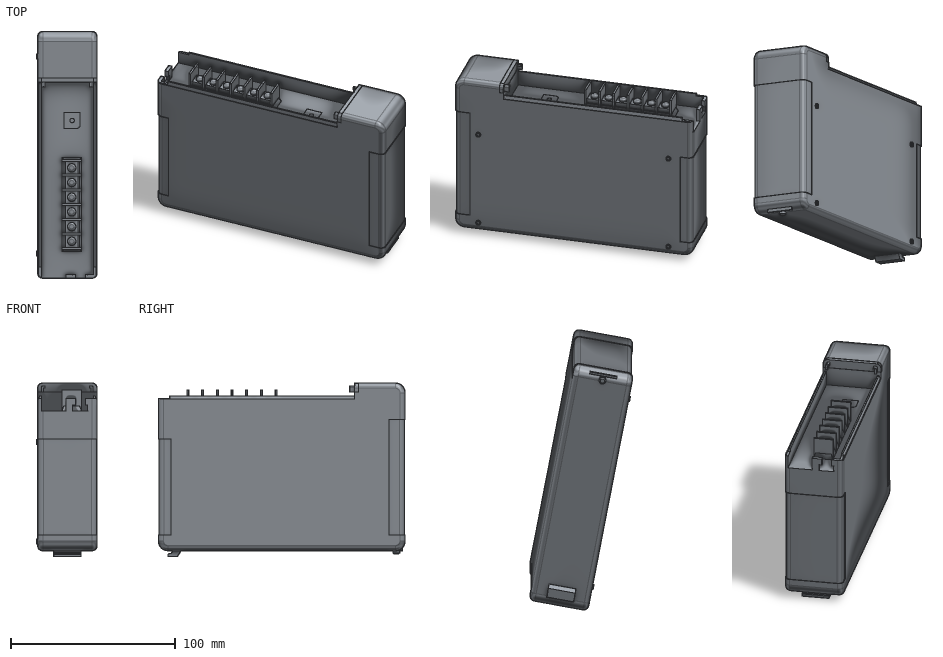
import cadquery as cq

WIDTH = 36.1
LENGTH = 150.0
CASE_TOP = 102.0
EDGE_ROUND = 3.1
PROFILE_CORNER = 6.0
CENTER_X = WIDTH / 2
MARGIN = 1.5

TRAY_LENGTH = 119.1
FLOOR_Z = 84.9
WALL = 2.2
WALL_FOOT_Z = 92.2
WALL_FOOT_LEDGE = 0.5
WALL_SLOPE_X = 1.3
WALL_TOP_Z = 94.2
POST_TOP_Z = 92.7
POST_LENGTH = 6.9

TAB_LEFT = 17.1
TAB_STEM_RIGHT = 21.3
TAB_RIGHT = 23.1
SLOT_RIGHT = 29.1
SLOT_FOOT_RIGHT = 30.5
OVERHANG_Z = 88.6

BAND_DEPTH = 0.37
BAND_BOTTOM_Z = 9.7
FRONT_BAND_TOP_Z = 67.8
FRONT_BAND_LENGTH = 7.8
REAR_BAND_TOP_Z = 79.8
REAR_BAND_LENGTH = 9.7

STRIP_BOTTOM_Z = 96.5
STRIP_LENGTH = 2.5
STRIP_DEPTH = 0.1
STRIP_FACE = TRAY_LENGTH + STRIP_DEPTH
STRIP_END = TRAY_LENGTH + STRIP_LENGTH
HOOK_LEFT = 2.4
HOOK_WIDTH = 2.1
HOOK_HEIGHT = 3.7
HOOK_REACH = 2.8
HOOK_THICKNESS = 1.2
HOOK_ROUND = 0.9

STUD_HEIGHT = 0.7
STUD_RADIUS = 1.5
STUD_BORE_RADIUS = 1.0
STUD_END_MARGIN = 15.1
STUD_HEIGHTS = (5.5, 66.0)

FOOT_WIDTH = 16.6
FOOT_BACK_Y = 13.5
FOOT_NECK_Y = 8.4
FOOT_TOE_Y = 5.8
FOOT_HEEL_Y = 11.5
FOOT_DROP = 3.6
FOOT_BACK_Z = -0.5
FOOT_NECK_Z = -0.9
FOOT_TOE_Z = -2.1
FOOT_TOE_BEND = (6.5, -1.6)
FOOT_NECK_BEND = (7.6, -1.5)
FOOT_ROOT_Z = 0.7
FOOT_X0 = CENTER_X - FOOT_WIDTH / 2
FOOT_X1 = CENTER_X + FOOT_WIDTH / 2
REAR_FOOT_Y = 144.6
REAR_FOOT_RADIUS = 2.1
REAR_FOOT_DROP = 2.0
REAR_FOOT_CHAMFER = 0.7
NUB_FRONT_Y = 147.0
NUB_REAR_Y = 148.3
NUB_ROOT_Z = 3.0

PAD_X = 21.0
PAD_Y = 95.8
PAD_SIZE = 9.7
PAD_HEIGHT = 0.07
PAD_CORNER = 2.4
PAD_HOLE_RADIUS = 1.3

TERMINAL_COUNT = 6
BLOCK_X = 20.7
BLOCK_WIDTH = 12.0
DIVIDER_SPAN = 53.5
DIVIDER_FIRST_Y = 18.0
DIVIDER_THICKNESS = 1.2
DIVIDER_HEIGHT = 12.9
FLARE = 1.2
BASE_HEIGHT = 3.1
PLATE_WIDTH = 7.5
PLATE_HEIGHT = 2.7
SCREW_RADIUS = 2.5
SCREW_HEIGHT = 1.8
SCREW_ROUND = 1.2
PLATE_Z = FLOOR_Z + BASE_HEIGHT + PLATE_HEIGHT
PITCH = DIVIDER_SPAN / TERMINAL_COUNT
BLOCK_Y = DIVIDER_FIRST_Y + DIVIDER_SPAN / 2


def box(x0, x1, y0, y1, z0, z1):
    """Axis-aligned box between two opposite corners."""
    return cq.Workplane("XY").box(x1 - x0, y1 - y0, z1 - z0, centered=False).translate((x0, y0, z0))


def extrude_along_x(points, x0, x1):
    """Prism along X from an outline given as (y, z) points."""
    return cq.Workplane("YZ").polyline(points).close().extrude(x1 - x0).translate((x0, 0, 0))


def extrude_along_y(points, y0, y1):
    """Prism along Y from an outline given as (x, z) points."""
    return cq.Workplane("XZ").polyline(points).close().extrude(y0 - y1).translate((0, y0, 0))


def mirror_across_width(shape):
    """Copy of a shape mirrored in the plane halfway across the width."""
    return shape.mirror("YZ", (CENTER_X, 0, 0))


def rounded_block(inset):
    """Rounded case block, set in by the same distance on the sides and ends."""
    block = box(inset, WIDTH - inset, inset, LENGTH - inset, 0, CASE_TOP)
    return block.edges("|X").fillet(PROFILE_CORNER).faces("<X or >X").edges().fillet(EDGE_ROUND)


def tray_space():
    """Everything removed above the tray, leaving tapered side walls and low front posts."""
    clear_z = CASE_TOP + MARGIN
    over_walls = extrude_along_y(
        [
            (-MARGIN, WALL_FOOT_Z),
            (WALL_FOOT_LEDGE, WALL_FOOT_Z),
            (WALL_SLOPE_X, WALL_TOP_Z),
            (CENTER_X, WALL_TOP_Z),
            (CENTER_X, clear_z),
            (-MARGIN, clear_z),
        ],
        -MARGIN,
        TRAY_LENGTH,
    )
    over_posts = box(-MARGIN, WIDTH + MARGIN, -MARGIN, POST_LENGTH, POST_TOP_Z, clear_z)
    well = box(WALL, WIDTH - WALL, WALL, TRAY_LENGTH, FLOOR_Z, clear_z)
    return over_walls.union(mirror_across_width(over_walls)).union(over_posts).union(well)


def front_openings():
    """Left opening and undercut slot, which leave a hooked tab between them."""
    left = box(WALL, TAB_LEFT, -MARGIN, WALL, FLOOR_Z, POST_TOP_Z)
    slot = box(TAB_RIGHT, SLOT_RIGHT, -MARGIN, WALL, FLOOR_Z, POST_TOP_Z)
    undercut = box(TAB_STEM_RIGHT, SLOT_FOOT_RIGHT, -MARGIN, WALL, FLOOR_Z, OVERHANG_Z)
    return left.union(slot).union(undercut)


def grip_bands():
    """Thin skin removed round the front and rear ends."""
    x0 = -MARGIN
    x1 = WIDTH + MARGIN
    rear_start = LENGTH - REAR_BAND_LENGTH
    front = box(x0, x1, -MARGIN, FRONT_BAND_LENGTH, BAND_BOTTOM_Z, FRONT_BAND_TOP_Z)
    rear = box(x0, x1, rear_start, LENGTH + MARGIN, BAND_BOTTOM_Z, REAR_BAND_TOP_Z)
    return front.union(rear).cut(rounded_block(BAND_DEPTH))


def strip_recess():
    """Shallow step that sets the lip strip back from the cap's skin and front face."""
    zone = box(-MARGIN, WIDTH + MARGIN, TRAY_LENGTH, STRIP_END, STRIP_BOTTOM_Z, CASE_TOP + MARGIN)
    behind_face = box(-MARGIN, WIDTH + MARGIN, STRIP_FACE, STRIP_END, 0, CASE_TOP - STRIP_DEPTH)
    return zone.cut(rounded_block(STRIP_DEPTH).intersect(behind_face))


def cover_hook():
    """L-shaped hook with a rounded outer corner, standing out of the lip strip."""
    right = HOOK_LEFT + HOOK_WIDTH
    top = STRIP_BOTTOM_Z + HOOK_HEIGHT
    body = box(HOOK_LEFT, right, TRAY_LENGTH - HOOK_REACH, STRIP_FACE, STRIP_BOTTOM_Z, top)
    body = body.edges("|Y and <X and >Z").fillet(HOOK_ROUND)
    notch = box(
        HOOK_LEFT + HOOK_THICKNESS,
        right,
        TRAY_LENGTH - HOOK_REACH,
        STRIP_FACE,
        STRIP_BOTTOM_Z,
        top - HOOK_THICKNESS,
    )
    return body.cut(notch)


def side_stud(y, z):
    """Low ring standing out of the -X side."""
    ring = cq.Workplane("YZ").circle(STUD_RADIUS).circle(STUD_BORE_RADIUS).extrude(-STUD_HEIGHT)
    return ring.translate((0, y, z))


def front_foot():
    """Hooked rail foot whose toe points to the front."""
    outline = [
        (FOOT_BACK_Y, FOOT_ROOT_Z),
        (FOOT_BACK_Y, FOOT_BACK_Z),
        (FOOT_HEEL_Y, -FOOT_DROP),
        (FOOT_TOE_Y, -FOOT_DROP),
        (FOOT_TOE_Y, FOOT_TOE_Z),
        FOOT_TOE_BEND,
        FOOT_NECK_BEND,
        (FOOT_NECK_Y, FOOT_NECK_Z),
        (FOOT_NECK_Y, FOOT_ROOT_Z),
    ]
    return extrude_along_x(outline, FOOT_X0, FOOT_X1)


def rear_feet():
    """Round foot with a chamfered tip, and a small nub behind it."""
    rear_foot = (
        cq.Workplane("XY")
        .circle(REAR_FOOT_RADIUS)
        .extrude(REAR_FOOT_DROP + FOOT_ROOT_Z)
        .faces("<Z")
        .chamfer(REAR_FOOT_CHAMFER)
        .translate((CENTER_X, REAR_FOOT_Y, -REAR_FOOT_DROP))
    )
    nub = box(FOOT_X0, FOOT_X1, NUB_FRONT_Y, NUB_REAR_Y, 0, NUB_ROOT_Z)
    return rear_foot.union(nub)


def indicator_pad():
    """Thin square pad with one rounded corner and a round hole down to the tray floor."""
    pad = cq.Workplane("XY").rect(PAD_SIZE, PAD_SIZE).extrude(PAD_HEIGHT)
    pad = pad.edges("|Z and >X and <Y").fillet(PAD_CORNER)
    pad = pad.faces(">Z").workplane().hole(2 * PAD_HOLE_RADIUS)
    return pad.translate((PAD_X, PAD_Y, FLOOR_Z))


def make_housing():
    """Solid case with its tray, bands, hooks, studs, feet and indicator pad."""
    case = rounded_block(0).cut(tray_space()).cut(front_openings()).cut(grip_bands()).cut(strip_recess())
    hook = cover_hook()
    case = case.union(hook).union(mirror_across_width(hook))
    for y in (STUD_END_MARGIN, LENGTH - STUD_END_MARGIN):
        for z in STUD_HEIGHTS:
            case = case.union(side_stud(y, z))
    return case.union(front_foot()).union(rear_feet()).union(indicator_pad())


def make_terminal_block():
    """Flared base with a raised plate, split into bays by tall dividers."""
    half_length = (DIVIDER_SPAN + DIVIDER_THICKNESS) / 2
    base = (
        cq.Workplane("XY", origin=(BLOCK_X, BLOCK_Y, FLOOR_Z))
        .rect(BLOCK_WIDTH, 2 * (half_length + FLARE))
        .workplane(offset=BASE_HEIGHT)
        .rect(BLOCK_WIDTH - 2 * FLARE, 2 * half_length)
        .loft(ruled=True)
    )
    plate = box(
        BLOCK_X - PLATE_WIDTH / 2,
        BLOCK_X + PLATE_WIDTH / 2,
        BLOCK_Y - half_length,
        BLOCK_Y + half_length,
        FLOOR_Z,
        PLATE_Z,
    )
    block = base.union(plate)
    for i in range(TERMINAL_COUNT + 1):
        y = DIVIDER_FIRST_Y + i * PITCH
        divider = box(
            BLOCK_X - BLOCK_WIDTH / 2,
            BLOCK_X + BLOCK_WIDTH / 2,
            y - DIVIDER_THICKNESS / 2,
            y + DIVIDER_THICKNESS / 2,
            FLOOR_Z,
            FLOOR_Z + DIVIDER_HEIGHT,
        )
        block = block.union(divider)
    return block


def make_screw(index):
    """Round-topped terminal screw head in the middle of its bay."""
    head = cq.Workplane("XY").circle(SCREW_RADIUS).extrude(SCREW_HEIGHT)
    head = head.faces(">Z").edges().fillet(SCREW_ROUND)
    return head.translate((BLOCK_X, DIVIDER_FIRST_Y + (index + 0.5) * PITCH, PLATE_Z))


housing = make_housing()
terminal_block = make_terminal_block()
screws = [make_screw(i) for i in range(TERMINAL_COUNT)]

result = cq.Compound.makeCompound([housing.val(), terminal_block.val(), *[screw.val() for screw in screws]])